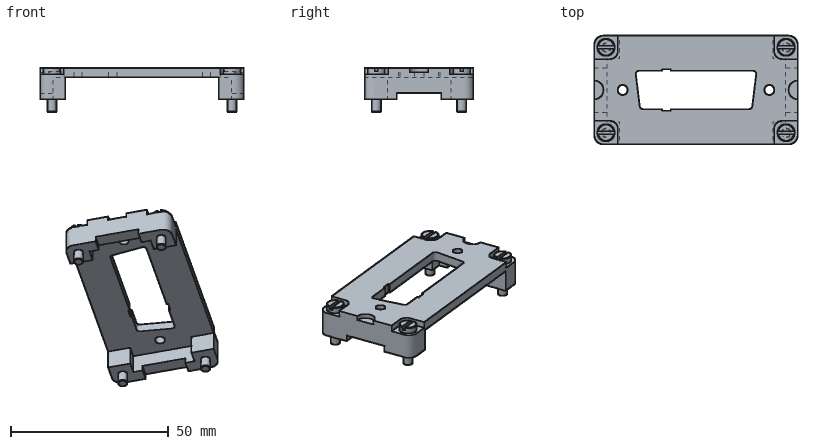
import cadquery as cq
import math

length = 64.5
width = 34.5
total_height = 14.0
body_height = 10.0
plate_thickness = 3.0
corner_radius = 2.95

foot_length = 8.0
foot_relief_width = 14.0
foot_relief_height = 2.0
foot_pocket_width = 20.0
foot_pocket_reach = foot_length / 2

pocket_size = 7.5
pocket_depth = 2.0
pocket_corner_radius = 2.45

edge_recess_radius = 2.95
edge_recess_depth = 1.4

opening_height = 12.05
opening_top_width = 38.3
side_angle = 7.0
opening_corner_radius = 0.95
notch_width = 2.7
notch_depth = 0.485
notch_x = -9.35

mount_hole_diameter = 3.1
mount_hole_spacing = 46.45

screw_inset = pocket_size / 2
screw_shank_diameter = 2.95
screw_head_diameter = 5.5
screw_chamfer = 0.2
driver_slot_width = 1.0
driver_slot_depth = 1.0

x_sides = (-1, 1)
corners = [(x, y) for x in x_sides for y in (-1, 1)]


def block(size_x, size_y, z_top, depth):
    """Box centred on the Z axis, hanging down from z_top."""
    return cq.Workplane("XY").workplane(offset=z_top).rect(size_x, size_y).extrude(-depth)


def disc(diameter, z_top, depth):
    """Cylinder on the Z axis, hanging down from z_top."""
    return cq.Workplane("XY").workplane(offset=z_top).circle(diameter / 2).extrude(-depth)


def make_body():
    """Flat plate carried by a foot across each end."""
    body = block(length, width, 0, body_height).edges("|Z").fillet(corner_radius)
    span = block(length - 2 * foot_length, width, -plate_thickness, body_height)
    relief = block(length, foot_relief_width, foot_relief_height - body_height, foot_relief_height)
    return body.cut(span).cut(relief).cut(make_foot_pockets())


def make_foot_pockets():
    """Space between the legs of each foot, open inward and closed by the end wall."""
    pocket_span = length - 2 * (foot_length - foot_pocket_reach)
    return block(pocket_span, foot_pocket_width, -plate_thickness, body_height)


def make_corner_pockets():
    """Pockets open to both outer sides, rounded at the inner corner."""
    pocket = block(2 * pocket_size, 2 * pocket_size, 0, pocket_depth)
    pocket = pocket.edges("|Z").fillet(pocket_corner_radius)
    pockets = cq.Workplane("XY")
    for x, y in corners:
        pockets = pockets.add(pocket.translate((x * length / 2, y * width / 2, 0)))
    return pockets.combine()


def mirrored_pair(shape, x_offset):
    """Two copies of a shape, at equal distances either side of the middle."""
    left, right = [shape.translate((x * x_offset, 0, 0)) for x in x_sides]
    return left.union(right)


def make_edge_recesses():
    """Half-round recesses in the middle of both end edges."""
    recess = disc(2 * edge_recess_radius, 0, edge_recess_depth)
    return mirrored_pair(recess, length / 2)


def make_opening():
    """D-shaped opening with a narrow notch through both long sides."""
    top_half = opening_top_width / 2
    bottom_half = top_half - opening_height * math.tan(math.radians(side_angle))
    y_top = opening_height / 2
    outline = [(-top_half, y_top), (top_half, y_top), (bottom_half, -y_top), (-bottom_half, -y_top)]
    opening = cq.Workplane("XY").polyline(outline).close().extrude(-plate_thickness)
    opening = opening.edges("|Z").fillet(opening_corner_radius)
    notch = block(notch_width, opening_height + 2 * notch_depth, 0, plate_thickness)
    return opening.union(notch.translate((notch_x, 0, 0)))


def make_mount_holes():
    """Through holes beside the opening, running out into the foot pockets."""
    hole = disc(mount_hole_diameter, 0, body_height)
    return mirrored_pair(hole, mount_hole_spacing / 2)


def make_screw():
    """Cheese-head screw flush with the plate, its shank reaching below the feet."""
    head = disc(screw_head_diameter, 0, pocket_depth).faces(">Z").chamfer(screw_chamfer)
    shank = disc(screw_shank_diameter, 0, total_height).faces("<Z").chamfer(screw_chamfer)
    driver_slot = block(screw_head_diameter, driver_slot_width, 0, driver_slot_depth)
    return head.union(shank).cut(driver_slot)


result = make_body().cut(make_corner_pockets()).cut(make_edge_recesses())
result = result.cut(make_opening()).cut(make_mount_holes())

screw = make_screw()
screw_x = length / 2 - screw_inset
screw_y = width / 2 - screw_inset
for x, y in corners:
    result = result.union(screw.translate((x * screw_x, y * screw_y, 0)))